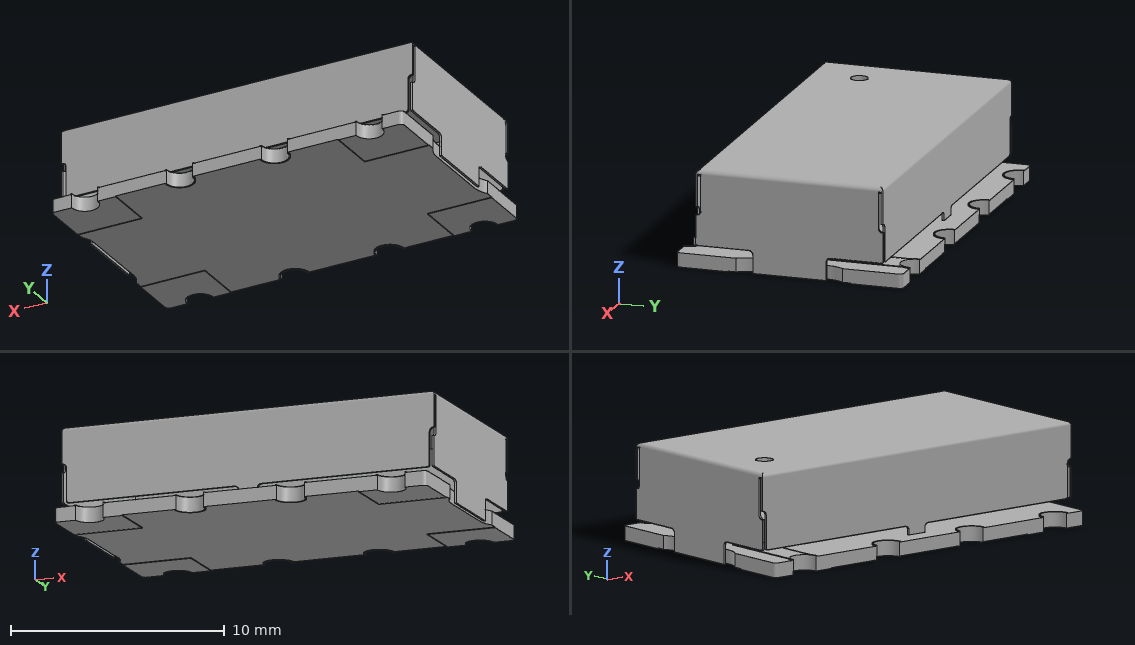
import cadquery as cq
LENGTH = 18.8
BOARD_WIDTH = 11.19
HEIGHT = 4.83

COPPER_THICKNESS = 0.034
BOARD_THICKNESS = 0.68
BOARD_TOP = COPPER_THICKNESS + BOARD_THICKNESS
BOARD_CORNER_RADIUS = 0.2

CASTELLATION_COUNT = 4
CASTELLATION_PITCH = 5.08
CASTELLATION_RADIUS = 0.7
RING_WIDTH = 0.065
RING_RADIUS = CASTELLATION_RADIUS + RING_WIDTH
CASTELLATION_POINTS = [
    ((i - (CASTELLATION_COUNT - 1) / 2) * CASTELLATION_PITCH, side * BOARD_WIDTH / 2)
    for i in range(CASTELLATION_COUNT)
    for side in (-1, 1)
]
END_CASTELLATION_X = CASTELLATION_PITCH * (CASTELLATION_COUNT - 1) / 2

CORNER_PAD_LENGTH = 3.44
CORNER_PAD_WIDTH = 2.55
TRACE_WIDTH = 1.33
TRACE_LENGTH = 4.51

END_RECESS_LENGTH = 5.26
END_RECESS_DEPTH = 0.26
END_RECESS_RADIUS = 1.4

COVER_WIDTH = 9.27
WALL = 0.1
TOP_THICKNESS = 0.3
TOP_EDGE_RADIUS = 0.2
WALL_TOP = HEIGHT - TOP_EDGE_RADIUS
WALL_BOTTOM = 1.15
CORNER_GAP = 0.25
GAP_FILLET = 0.23
SIDE_WALL_STEP_Z = 3.05
END_WALL_STEP_Z = 2.63
SIDE_TAB_WIDTH = 0.95
END_TAB_WIDTH = 3.63
TAB_FILLET = 0.2
LOWER_CORNER_FILLET = 0.1

MARKER_DIAMETER = 0.83
MARKER_X = -7.22
MARKER_Y = -2.16


def block(size_x, size_y, z_low, z_high):
    """Box centred on the Z axis between two heights."""
    return cq.Workplane("XY").workplane(offset=z_low).rect(size_x, size_y).extrude(z_high - z_low)


def end_recess_cutter():
    """Recess in the -X edge, with an arc at each end that runs tangent into its floor."""
    half = END_RECESS_LENGTH / 2
    edge_x = -LENGTH / 2
    floor_x = edge_x + END_RECESS_DEPTH
    centre_offset = END_RECESS_RADIUS - END_RECESS_DEPTH
    arc_run = (END_RECESS_RADIUS**2 - centre_offset**2) ** 0.5
    return (
        cq.Workplane("XY")
        .moveTo(edge_x, -half)
        .radiusArc((floor_x, arc_run - half), -END_RECESS_RADIUS)
        .lineTo(floor_x, half - arc_run)
        .radiusArc((edge_x, half), -END_RECESS_RADIUS)
        .close()
        .extrude(HEIGHT)
    )


def copper_rings(z_low):
    """Copper rings around all castellations."""
    return (
        cq.Workplane("XY")
        .workplane(offset=z_low)
        .pushPoints(CASTELLATION_POINTS)
        .circle(RING_RADIUS)
        .extrude(COPPER_THICKNESS)
    )


def corner_pads():
    """Large solder pads under the four corners."""
    return (
        cq.Workplane("XY")
        .rect(LENGTH - CORNER_PAD_LENGTH, BOARD_WIDTH - CORNER_PAD_WIDTH, forConstruction=True)
        .vertices()
        .rect(CORNER_PAD_LENGTH, CORNER_PAD_WIDTH)
        .extrude(COPPER_THICKNESS)
    )


def traces():
    """Copper strips running inward from two diagonally opposite castellations."""
    strip_y = (BOARD_WIDTH - TRACE_LENGTH) / 2
    return (
        cq.Workplane("XY")
        .workplane(offset=BOARD_TOP)
        .pushPoints([(-END_CASTELLATION_X, -strip_y), (END_CASTELLATION_X, strip_y)])
        .rect(TRACE_WIDTH, TRACE_LENGTH)
        .extrude(COPPER_THICKNESS)
    )


def make_board():
    """Board with its copper, castellations and end recesses."""
    board = block(LENGTH, BOARD_WIDTH, COPPER_THICKNESS, BOARD_TOP)
    board = board.union(copper_rings(0)).union(corner_pads())
    board = board.union(copper_rings(BOARD_TOP)).union(traces())

    outline = block(LENGTH, BOARD_WIDTH, 0, HEIGHT).edges("|Z").fillet(BOARD_CORNER_RADIUS)
    holes = cq.Workplane("XY").pushPoints(CASTELLATION_POINTS).circle(CASTELLATION_RADIUS).extrude(HEIGHT)
    recess = end_recess_cutter()
    return board.intersect(outline).cut(holes).cut(recess).cut(recess.mirror("YZ"))


def cover_top():
    """Thick top of the cover: a rounded full-size slab, stepped in by the wall thickness underneath."""
    slab = block(LENGTH, COVER_WIDTH, 0, HEIGHT).faces(">Z").edges().fillet(TOP_EDGE_RADIUS)
    slab = slab.cut(block(LENGTH, COVER_WIDTH, 0, WALL_TOP))
    step = block(LENGTH - 2 * WALL, COVER_WIDTH - 2 * WALL, HEIGHT - TOP_THICKNESS, WALL_TOP)
    marker = cq.Workplane("XY").center(MARKER_X, MARKER_Y).circle(MARKER_DIAMETER / 2).extrude(HEIGHT)
    return slab.union(step).cut(marker)


def add_tab(wall, tab_width, tab_bottom):
    """Add a central tab below a wall drawn in XZ, rounding the two inner corners at its root."""
    height = WALL_BOTTOM - tab_bottom
    tab = cq.Workplane("XZ").center(0, tab_bottom + height / 2).rect(tab_width, height).extrude(-WALL)
    root_corners = cq.selectors.BoxSelector(
        (-tab_width / 2 - WALL, -WALL, WALL_BOTTOM - WALL / 2),
        (tab_width / 2 + WALL, 2 * WALL, WALL_BOTTOM + WALL / 2),
    )
    return wall.union(tab).edges("|Y").edges(root_corners).fillet(TAB_FILLET)


def stepped_wall(length, step_z, wide_at_top):
    """Wall in XZ, set in by the corner gap above or below the step, with rounded corners."""
    half_wide = length / 2
    half_narrow = half_wide - CORNER_GAP
    half_top, half_bottom = (half_wide, half_narrow) if wide_at_top else (half_narrow, half_wide)
    wall = (
        cq.Workplane("XZ")
        .moveTo(-half_bottom, WALL_BOTTOM)
        .lineTo(half_bottom, WALL_BOTTOM)
        .lineTo(half_bottom, step_z)
        .lineTo(half_top, step_z)
        .lineTo(half_top, WALL_TOP)
        .lineTo(-half_top, WALL_TOP)
        .lineTo(-half_top, step_z)
        .lineTo(-half_bottom, step_z)
        .close()
        .extrude(-WALL)
    )
    inner_corners = cq.selectors.BoxSelector(
        (-half_narrow - WALL, -WALL, step_z - WALL),
        (half_narrow + WALL, 2 * WALL, step_z + WALL),
    )
    wall = wall.edges("|Y").edges(inner_corners).fillet(GAP_FILLET)
    return wall.edges("|Y").edges("<Z").fillet(LOWER_CORNER_FILLET)


def side_wall():
    """Long wall on the -Y side, standing on the board by its central tab."""
    wall = stepped_wall(LENGTH, SIDE_WALL_STEP_Z, wide_at_top=True)
    wall = add_tab(wall, SIDE_TAB_WIDTH, BOARD_TOP)
    return wall.translate((0, -COVER_WIDTH / 2, 0))


def end_wall():
    """Short wall on the -X side, whose central tab reaches down into the board recess."""
    wall = stepped_wall(COVER_WIDTH, END_WALL_STEP_Z, wide_at_top=False)
    wall = add_tab(wall, END_TAB_WIDTH, COPPER_THICKNESS)
    wall = wall.rotate((0, 0, 0), (0, 0, 1), -90)
    return wall.translate((-LENGTH / 2, 0, 0))


def make_cover():
    """Open-bottomed cover: a top and four thin walls."""
    cover = cover_top()
    for wall, mirror_plane in ((side_wall(), "XZ"), (end_wall(), "YZ")):
        cover = cover.union(wall).union(wall.mirror(mirror_plane))
    return cover


board = make_board().solids()
cover = make_cover().solids()

result = cq.Compound.makeCompound([board.val(), cover.val()])